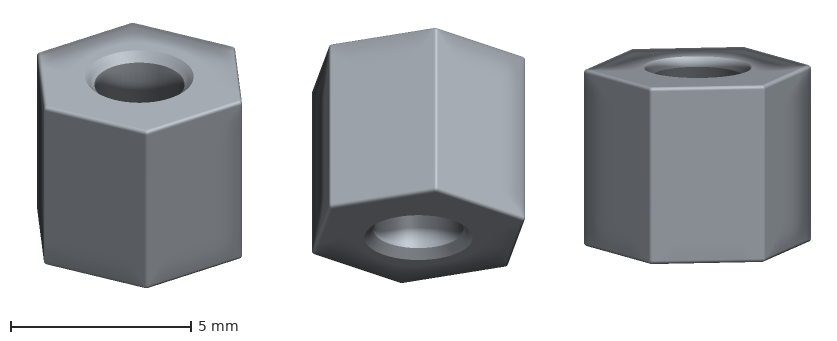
import cadquery as cq
import math

corner_width = 6.32
height = 5.0
edge_radius = 0.1
bore_diameter = 2.5
mouth_diameter = 3.0

corner_loss = edge_radius * (1 / math.cos(math.radians(30)) - 1)
sharp_corner_width = corner_width + 2 * corner_loss
chamfer = (mouth_diameter - bore_diameter) / 2

body = (
    cq.Workplane("XY")
    .polygon(6, sharp_corner_width)
    .extrude(height)
    .edges()
    .fillet(edge_radius)
)

bore = cq.Workplane("XY").circle(bore_diameter / 2).extrude(height)
top_mouth = (
    cq.Workplane("XY", origin=(0, 0, height - chamfer))
    .circle(bore_diameter / 2)
    .workplane(offset=chamfer)
    .circle(mouth_diameter / 2)
    .loft(ruled=True)
)
bottom_mouth = top_mouth.mirror("XY", (0, 0, height / 2))

result = body.cut(bore).cut(top_mouth).cut(bottom_mouth)